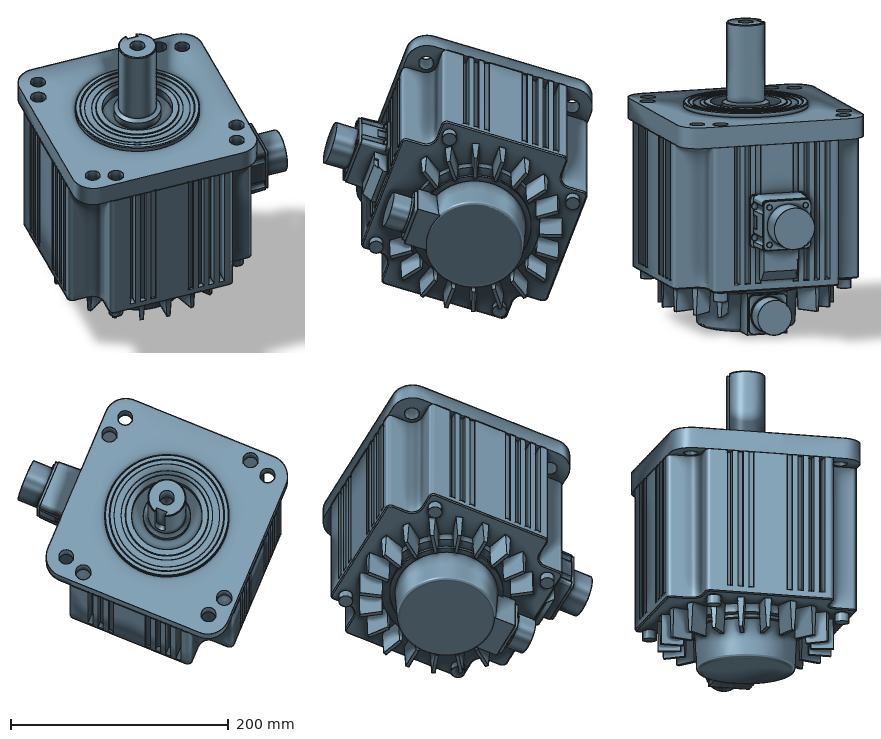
import cadquery as cq
import math


total_height = 281.8
flange_top_z = 203.0
flange_thickness = 19.5
flange_bottom_z = flange_top_z - flange_thickness
pilot_height = 4.5
pilot_top_z = flange_top_z + pilot_height
body_bottom_z = 47.5
end_cap_thickness = 6.8
end_cap_top_z = body_bottom_z + end_cap_thickness
fin_bottom_z = 20.0

body_width = 180.0
body_half = body_width / 2
flange_width = 179.0
flange_corner_radius = 20.0
notch_half = 60.5
notch_inner_radius = 10.5
ear_radius = 4.8
body_edge_chamfer = 1.0

groove_pitch = 10.1
groove_width = groove_pitch / 2
first_groove_start = 15.8
groove_floor_radius = body_half
grooves_toward_screw = 3
grooves_away_from_screw = 4

mount_hole_offset = 70.7
mount_hole_diameter = 13.5
screw_offset_near = 50.7
screw_offset_far = 78.0
screw_hole_diameter = 14.0
screw_head_diameter = 12.7
screw_neck_diameter = 7.0
screw_neck_length = 1.5
screw_head_bottom_z = 38.0

pilot_radius = 57.2
pilot_chamfer = 0.8
seal_step = 0.8
seal_outer_radius = 53.0
seal_outer_floor_radius = 52.0
seal_groove_outer_radius = 48.5
seal_groove_inner_radius = 42.0
seal_inner_floor_radius = 38.3
seal_inner_radius = 37.8
bore_radius = 32.5
bore_depth = 8.0

shaft_radius = 17.5
shaft_chamfer = 0.8
collar_radius = 21.7
collar_top_z = 206.8
collar_cone_top_z = 208.8
keyway_width = 10.1
keyway_floor = 12.5
keyway_bottom_z = 218.7
center_hole_radius = 6.8
center_hole_depth = 28.2
drill_tip_half_angle = 59

cover_top_radius = 48.0
cover_bottom_radius = 45.0
cover_fillet = 3.5
hub_radius = 60.0
hub_bottom_z = 39.7
hub_ring_radius = 52.0
hub_ring_bottom_z = 37.0
fin_count = 20
fin_inner_radius = 59.7
fin_outer_radius = 80.5
fin_root_thickness = 6.5
fin_tip_thickness = 3.0
connector_fin_gap = 20

total_depth = 230.0
power_z = 113.3
power_base_width = 53.5
power_base_height = 49.0
power_base_end_y = 93.5
power_body_width = 48.5
power_body_end_width = 46.8
power_body_end_height = 47.3
power_body_end_y = 117.0
power_plate_width = 45.7
power_plate_end_y = 119.5
power_plug_radius = 19.5
power_plug_end_y = total_depth - body_half
connector_corner_radius = 4.0
plate_screw_offset = 17.5
plate_screw_radius = 2.5
plate_screw_height = 1.0
channel_z_offset = 14.7
channel_radius = 4.2
channel_screw_radius = 3.0
channel_screw_height = 2.3
channel_screw_x = 23.0
channel_axis_x = 25.0
latch_width_y = 8.0
latch_height = 12.0
latch_depth = 0.8

block_width = 33.8
block_end_y = 102.5
block_bottom_z = 57.8
block_chamfer_z = 67.4
block_chamfer_y = 94.5
socket_y_depth = 4.0
socket_top_z = 76.6
socket_side_depth = 1.5

encoder_z = 20.0
encoder_box_half = 19.2
encoder_box_end_y = 61.2
encoder_plate_width = 36.0
encoder_plate_end_y = 64.3
encoder_ring_radius = 17.0
encoder_ring_end_y = 66.2
encoder_plug_radius = 16.3
encoder_plug_end_y = 83.5


def cylinder_z(radius, bottom_z, top_z):
    return cq.Workplane("XY").workplane(offset=bottom_z).circle(radius).extrude(top_z - bottom_z)


def plane_y(y, z):
    """Sketch plane facing the Y axis, with its X along +X and its Y along +Z."""
    return cq.Workplane("XZ", origin=(0, y, z))


def cylinder_y(radius, start_y, end_y, x, z):
    return plane_y(start_y, z).center(x, 0).circle(radius).extrude(start_y - end_y)


def rounded_block_y(width, height, start_y, end_y, z):
    block = plane_y(start_y, z).rect(width, height).extrude(start_y - end_y)
    return block.edges("|Y").fillet(connector_corner_radius)


def screw_points():
    """One screw near each corner, in a pinwheel around the axis."""
    near, far = screw_offset_near, screw_offset_far
    return [(near, far), (-far, near), (-near, -far), (far, -near)]


def mount_points():
    d = mount_hole_offset
    return [(d, d), (-d, d), (-d, -d), (d, -d)]


def make_housing_block(bottom_z, top_z):
    """Square prism with a rounded notch at every corner."""
    height = top_z - bottom_z
    base = cq.Workplane("XY").workplane(offset=bottom_z)
    block = base.rect(body_width, body_width).extrude(height)
    notch_size = 2 * (body_half - notch_half)
    corners = [(sx * body_half, sy * body_half) for sx in (-1, 1) for sy in (-1, 1)]
    notches = base.pushPoints(corners).rect(notch_size, notch_size).extrude(height)
    block = block.cut(notches)
    reach = (notch_half + body_half) / 2
    inner = cq.selectors.BoxSelector((-reach, -reach, bottom_z), (reach, reach, top_z))
    block = block.edges("|Z").edges(inner).fillet(notch_inner_radius)
    return block.faces("<X or >X or <Y or >Y").edges("|Z").fillet(ear_radius)


def make_grooves():
    """Lengthwise grooves whose floors lie on one cylinder around the shaft axis."""
    starts = [first_groove_start + i * groove_pitch for i in range(grooves_away_from_screw)]
    centers = [start + groove_width / 2 for start in starts]
    centers += [-center for center in centers[:grooves_toward_screw]]
    height = flange_bottom_z - end_cap_top_z
    face_slots = (
        cq.Workplane("XY").workplane(offset=end_cap_top_z)
        .pushPoints([(x, -body_half) for x in centers])
        .rect(groove_width, body_half)
        .extrude(height)
    )
    face_slots = face_slots.cut(cylinder_z(groove_floor_radius, end_cap_top_z, flange_bottom_z))
    grooves = face_slots
    for quarter in range(1, 4):
        grooves = grooves.union(face_slots.rotate((0, 0, 0), (0, 0, 1), 90 * quarter))
    return grooves


def make_housing():
    housing = make_housing_block(body_bottom_z, flange_bottom_z)
    housing = housing.faces("<Z").edges().chamfer(body_edge_chamfer)
    return housing.cut(make_grooves())


def make_flange():
    base = cq.Workplane("XY").workplane(offset=flange_bottom_z)
    flange = base.rect(flange_width, flange_width).extrude(flange_thickness)
    flange = flange.edges("|Z").fillet(flange_corner_radius)
    mount_holes = base.pushPoints(mount_points()).circle(mount_hole_diameter / 2).extrude(flange_thickness)
    screw_holes = base.pushPoints(screw_points()).circle(screw_hole_diameter / 2).extrude(flange_thickness)
    return flange.cut(mount_holes).cut(screw_holes)


def make_pilot():
    """Pilot boss with a shallow stepped seal channel in its top face."""
    pilot = cylinder_z(pilot_radius, flange_top_z, pilot_top_z).faces(">Z").chamfer(pilot_chamfer)
    top = pilot_top_z
    shelf = top - seal_step
    floor = shelf - seal_step
    channel = (
        cq.Workplane("XZ")
        .moveTo(seal_outer_radius, top)
        .lineTo(seal_outer_floor_radius, shelf)
        .lineTo(seal_groove_outer_radius, shelf)
        .lineTo(seal_groove_outer_radius, floor)
        .lineTo(seal_groove_inner_radius, floor)
        .lineTo(seal_groove_inner_radius, shelf)
        .lineTo(seal_inner_floor_radius, shelf)
        .lineTo(seal_inner_radius, top)
        .close()
        .revolve(360, (0, 0, 0), (0, 1, 0))
    )
    return pilot.cut(channel)


def make_shaft():
    shaft = cylinder_z(shaft_radius, flange_bottom_z, total_height).faces(">Z").chamfer(shaft_chamfer)
    collar = (
        cq.Workplane("XZ")
        .moveTo(0, flange_bottom_z)
        .lineTo(collar_radius, flange_bottom_z)
        .lineTo(collar_radius, collar_top_z)
        .lineTo(shaft_radius, collar_cone_top_z)
        .lineTo(0, collar_cone_top_z)
        .close()
        .revolve(360, (0, 0, 0), (0, 1, 0))
    )
    return shaft.union(collar)


def make_seal_bore():
    """Recess around the shaft collar, sunk from the pilot face."""
    return cylinder_z(bore_radius, pilot_top_z - bore_depth, pilot_top_z)


def make_keyway():
    """Keyway on the -X side, open at the shaft end and round at its bottom."""
    radius = keyway_width / 2
    arc_center_z = keyway_bottom_z + radius
    return (
        cq.Workplane("YZ", origin=(-keyway_floor, 0, 0))
        .moveTo(-radius, total_height)
        .lineTo(-radius, arc_center_z)
        .threePointArc((0, keyway_bottom_z), (radius, arc_center_z))
        .lineTo(radius, total_height)
        .close()
        .extrude(-shaft_radius)
    )


def make_center_hole():
    floor_z = total_height - center_hole_depth
    tip_z = floor_z - center_hole_radius / math.tan(math.radians(drill_tip_half_angle))
    return (
        cq.Workplane("XZ")
        .moveTo(0, total_height)
        .lineTo(center_hole_radius, total_height)
        .lineTo(center_hole_radius, floor_z)
        .lineTo(0, tip_z)
        .close()
        .revolve(360, (0, 0, 0), (0, 1, 0))
    )


def make_rear_cover():
    cover = (
        cq.Workplane("XY").circle(cover_bottom_radius)
        .workplane(offset=body_bottom_z).circle(cover_top_radius)
        .loft()
        .faces("<Z").edges().fillet(cover_fillet)
    )
    hub = cylinder_z(hub_radius, hub_bottom_z, body_bottom_z)
    hub_ring = cylinder_z(hub_ring_radius, hub_ring_bottom_z, hub_bottom_z)
    return cover.union(hub).union(hub_ring)


def make_fin():
    """Fin pointing to +X, thinner toward its lower edge."""
    root = fin_root_thickness / 2
    tip = fin_tip_thickness / 2
    return (
        cq.Workplane("YZ", origin=(fin_inner_radius, 0, 0))
        .polyline([(-root, body_bottom_z), (root, body_bottom_z), (tip, fin_bottom_z), (-tip, fin_bottom_z)])
        .close()
        .extrude(fin_outer_radius - fin_inner_radius)
    )


def make_fins():
    fin = make_fin()
    fins = cq.Workplane("XY")
    for i in range(fin_count):
        angle = i * 360 / fin_count
        if abs(angle - 90) > connector_fin_gap:
            fins = fins.union(fin.rotate((0, 0, 0), (0, 0, 1), angle))
    return fins


def make_rear_screws():
    head_top_z = body_bottom_z - screw_neck_length
    heads = (
        cq.Workplane("XY").workplane(offset=screw_head_bottom_z)
        .pushPoints(screw_points()).circle(screw_head_diameter / 2)
        .extrude(head_top_z - screw_head_bottom_z)
    )
    necks = (
        cq.Workplane("XY").workplane(offset=head_top_z)
        .pushPoints(screw_points()).circle(screw_neck_diameter / 2)
        .extrude(screw_neck_length)
    )
    return heads.union(necks)


def make_power_connector():
    base = rounded_block_y(power_base_width, power_base_height, body_half, power_base_end_y, power_z)
    body = (
        plane_y(power_base_end_y, power_z).rect(power_body_width, power_base_height)
        .workplane(offset=power_base_end_y - power_body_end_y)
        .rect(power_body_end_width, power_body_end_height)
        .loft()
    )
    body = body.edges("not(|X or |Z)").fillet(connector_corner_radius)
    plate = rounded_block_y(
        power_plate_width, power_plate_width, power_body_end_y, power_plate_end_y, power_z)
    plug = cylinder_y(power_plug_radius, power_plate_end_y, power_plug_end_y, 0, power_z)
    latch_x = power_body_width / 2

    for side in (-1, 1):
        latch = cq.Workplane("XY").box(2 * latch_depth, latch_width_y, latch_height)
        body = body.cut(latch.translate((side * latch_x, power_base_end_y + latch_width_y / 2, power_z)))
        for level in (-1, 1):
            z = power_z + level * channel_z_offset
            body = body.cut(cylinder_y(
                channel_radius, power_base_end_y, power_body_end_y, side * channel_axis_x, z))

    connector = base.union(body).union(plate).union(plug)
    for side in (-1, 1):
        for level in (-1, 1):
            connector = connector.union(cylinder_y(
                channel_screw_radius, power_base_end_y, power_base_end_y + channel_screw_height,
                side * channel_screw_x, power_z + level * channel_z_offset))
            connector = connector.union(cylinder_y(
                plate_screw_radius, power_plate_end_y, power_plate_end_y + plate_screw_height,
                side * plate_screw_offset, power_z + level * plate_screw_offset))
    return connector


def make_cable_block():
    half = block_width / 2
    block = (
        cq.Workplane("YZ", origin=(-half, 0, 0))
        .polyline([
            (body_half, power_z),
            (body_half, block_bottom_z),
            (block_chamfer_y, block_bottom_z),
            (block_end_y, block_chamfer_z),
            (block_end_y, power_z),
        ])
        .close()
        .extrude(block_width)
    )
    socket_height = socket_top_z - block_bottom_z
    socket = cq.Workplane("XY").box(2 * socket_side_depth, socket_y_depth, socket_height).translate(
        (-half, block_end_y - socket_y_depth / 2, block_bottom_z + socket_height / 2))
    return block.cut(socket)


def make_encoder_connector():
    size = 2 * encoder_box_half
    box = plane_y(0, encoder_z).rect(size, size).extrude(-encoder_box_end_y)
    plate = rounded_block_y(
        encoder_plate_width, encoder_plate_width, encoder_box_end_y, encoder_plate_end_y, encoder_z)
    ring = cylinder_y(encoder_ring_radius, encoder_plate_end_y, encoder_ring_end_y, 0, encoder_z)
    plug = cylinder_y(encoder_plug_radius, encoder_ring_end_y, encoder_plug_end_y, 0, encoder_z)
    return box.union(plate).union(ring).union(plug)


result = make_housing().union(make_flange()).union(make_pilot()).cut(make_seal_bore())
result = result.union(make_shaft()).cut(make_keyway()).cut(make_center_hole())
result = result.union(make_rear_cover()).union(make_fins()).union(make_rear_screws())
result = result.union(make_power_connector()).union(make_cable_block()).union(make_encoder_connector())